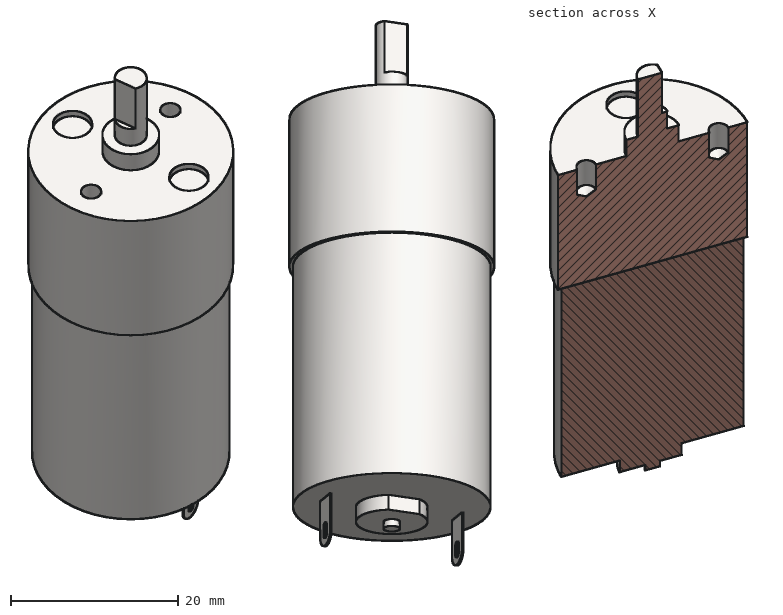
import cadquery as cq
import math

terminal_length = 6.15
motor_length = 30.65
gearbox_length = 18.8
collar_height = 2.6
total_height = 67.5
motor_bottom = terminal_length
gearbox_bottom = motor_bottom + motor_length
gearbox_top = gearbox_bottom + gearbox_length
collar_top = gearbox_top + collar_height

gearbox_diameter = 24.6
collar_diameter = 6.8
shaft_diameter = 3.85
shaft_flat_length = 6.55
shaft_flat_offset = 1.2
screw_hole_diameter = 2.4
screw_hole_depth = 4.05
screw_hole_radius = 8.6
drill_point_angle = 118.0
recess_diameter = 4.7
recess_depth = 0.9
recess_radius = 8.4

motor_diameter = 23.7
boss_diameter = 8.6
boss_height = 1.9
boss_flat_offset = 3.8
pin_diameter = 1.95
pin_height = 0.9
terminal_width = 3.1
terminal_thickness = 0.2
terminal_offset = 8.6
slot_width = 1.1
slot_length = 1.95
slot_height = 1.95


def cylinder(diameter, bottom, height):
    """Upright cylinder on the motor axis."""
    return cq.Workplane("XY").workplane(offset=bottom).circle(diameter / 2).extrude(height)


def half_space_block(diameter, flat_offset, bottom, height):
    """Block that removes everything of a cylinder beyond a flat on its -Y side."""
    return (
        cq.Workplane("XY")
        .box(diameter, diameter, height, centered=(True, False, False))
        .translate((0, -flat_offset - diameter, bottom))
    )


def make_shaft():
    """Output shaft with a D flat at its free end."""
    shaft = cylinder(shaft_diameter, collar_top, total_height - collar_top)
    flat_bottom = total_height - shaft_flat_length
    return shaft.cut(half_space_block(shaft_diameter, shaft_flat_offset, flat_bottom, shaft_flat_length))


def make_screw_hole(y):
    """Blind drilled hole with a conical end, as a cutting tool."""
    radius = screw_hole_diameter / 2
    tip_depth = radius / math.tan(math.radians(drill_point_angle / 2))
    return (
        cq.Workplane("XZ")
        .lineTo(radius, 0)
        .lineTo(radius, -screw_hole_depth)
        .lineTo(0, -screw_hole_depth - tip_depth)
        .close()
        .revolve(360, (0, 0), (0, 1))
        .translate((0, y, gearbox_top))
    )


def make_gearbox():
    """Gearbox case with its collar, output shaft, screw holes and round recesses."""
    gearbox = cylinder(gearbox_diameter, gearbox_bottom, gearbox_length)
    gearbox = gearbox.union(cylinder(collar_diameter, gearbox_top, collar_height))
    gearbox = gearbox.union(make_shaft())
    recess = cylinder(recess_diameter, gearbox_top - recess_depth, recess_depth)
    for side in (-1, 1):
        gearbox = gearbox.cut(make_screw_hole(side * screw_hole_radius))
        gearbox = gearbox.cut(recess.translate((side * recess_radius, 0, 0)))
    return gearbox


def make_rear_boss():
    """Rear bearing boss with one flat side and the stub of the motor shaft."""
    boss_bottom = motor_bottom - boss_height
    boss = cylinder(boss_diameter, boss_bottom, boss_height)
    boss = boss.cut(half_space_block(boss_diameter, boss_flat_offset, boss_bottom, boss_height))
    return boss.union(cylinder(pin_diameter, boss_bottom - pin_height, pin_height))


def make_terminal(x):
    """Thin solder tab with a rounded tip and a slot for the wire."""
    half_width = terminal_width / 2
    tab = (
        cq.Workplane("YZ")
        .moveTo(-half_width, motor_bottom)
        .lineTo(-half_width, half_width)
        .threePointArc((0, 0), (half_width, half_width))
        .lineTo(half_width, motor_bottom)
        .close()
        .extrude(terminal_thickness / 2, both=True)
    )
    slot = (
        cq.Workplane("YZ")
        .center(0, slot_height)
        .slot2D(slot_length, slot_width, 90)
        .extrude(terminal_thickness, both=True)
    )
    return tab.cut(slot).translate((x, 0, 0))


def make_motor():
    """Motor can with its rear boss and two solder terminals."""
    motor = cylinder(motor_diameter, motor_bottom, motor_length)
    motor = motor.union(make_rear_boss())
    for side in (-1, 1):
        motor = motor.union(make_terminal(side * terminal_offset))
    return motor


gearbox = make_gearbox()
motor = make_motor()

result = cq.Compound.makeCompound([gearbox.val(), motor.val()])